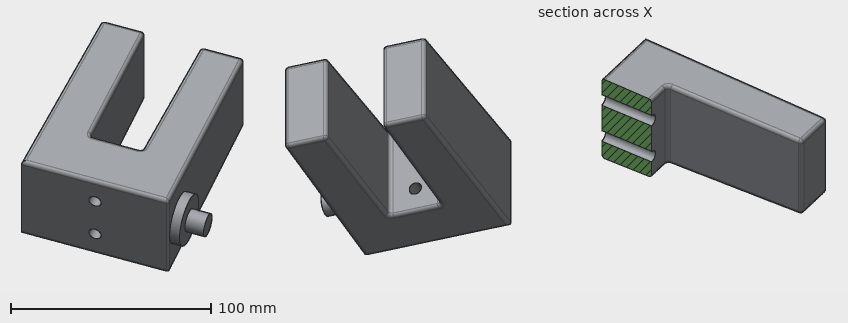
import cadquery as cq
import math

body_length = 110.0
tip_width = 76.0
base_height = 51.0
height_draft = 1.0
side_slope = 1.0 / 80.0

slot_floor_y = 30.0
slot_floor_width = 28.0

edge_radius = 2.0
base_corner_radius = 1.0

hole_diameter = 6.5
hole_spacing = 23.0

gland_y = 15.0
flange_diameter = 27.0
flange_length = 5.25
spigot_diameter = 12.0
spigot_length = 10.0

half_tip = tip_width / 2
half_base = half_tip + side_slope * body_length
half_slot_floor = slot_floor_width / 2
half_slot_mouth = half_slot_floor + side_slope * (body_length - slot_floor_y)
half_base_height = base_height / 2
half_tip_height = half_base_height - body_length * math.tan(math.radians(height_draft))


def upright_edges(body, corners):
    """Select the edges of the body that run along Z through the given (x, y) corners."""
    edges = body.edges("|Z")
    tolerance = edge_radius / 2

    def is_at_corner(edge):
        center = edge.Center()
        return any(math.dist((center.x, center.y), corner) < tolerance for corner in corners)

    return edges.newObject([edge for edge in edges.vals() if is_at_corner(edge)])


def make_fork_blank():
    """U-shaped plan outline, cut to a height that tapers towards the tips."""
    plan = (
        cq.Workplane("XY")
        .polyline([
            (-half_base, 0),
            (half_base, 0),
            (half_tip, body_length),
            (half_slot_mouth, body_length),
            (half_slot_floor, slot_floor_y),
            (-half_slot_floor, slot_floor_y),
            (-half_slot_mouth, body_length),
            (-half_tip, body_length),
        ])
        .close()
        .extrude(half_base_height, both=True)
    )
    side = (
        cq.Workplane("YZ")
        .polyline([
            (0, -half_base_height),
            (body_length, -half_tip_height),
            (body_length, half_tip_height),
            (0, half_base_height),
        ])
        .close()
        .extrude(half_base, both=True)
    )
    return plan.intersect(side)


def round_edges(body):
    """Round the arm and slot corners, the whole upper and lower rims, then the +X base corner."""
    rounded_corners = [
        (side * x, y)
        for side in (-1, 1)
        for x, y in (
            (half_tip, body_length),
            (half_slot_mouth, body_length),
            (half_slot_floor, slot_floor_y),
        )
    ]
    body = upright_edges(body, rounded_corners).fillet(edge_radius)
    body = body.faces(">Z or <Z").edges().fillet(edge_radius)
    return upright_edges(body, [(half_base, 0)]).fillet(base_corner_radius)


def cut_mounting_holes(body):
    holes = (
        cq.Workplane("XZ")
        .pushPoints([(0, -hole_spacing / 2), (0, hole_spacing / 2)])
        .circle(hole_diameter / 2)
        .extrude(-slot_floor_y)
    )
    return body.cut(holes)


def make_gland():
    """Flange and spigot along X; both start inside the body so they fuse with the leaning wall."""
    axis_plane = cq.Workplane("YZ", origin=(half_base - edge_radius, gland_y, 0))
    flange = axis_plane.circle(flange_diameter / 2).extrude(edge_radius + flange_length)
    spigot = axis_plane.circle(spigot_diameter / 2).extrude(edge_radius + flange_length + spigot_length)
    return flange.union(spigot)


fork = round_edges(make_fork_blank())
fork = cut_mounting_holes(fork)
result = fork.union(make_gland())